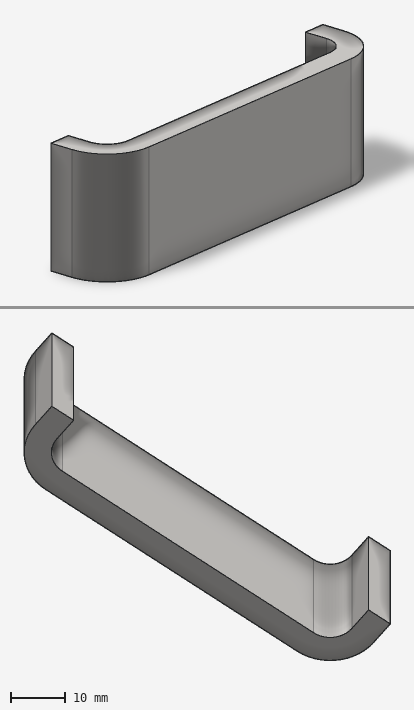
import cadquery as cq

thickness = 5.0
inner_radius = 5.0
lip_length = 5.0
web_length = 57.5
height = 25.0
tilt_angle = 13.8

outer_radius = inner_radius + thickness
half_web = web_length / 2
bend_x = -outer_radius
tip_x = bend_x - lip_length
inner_y = half_web + inner_radius
outer_y = half_web + outer_radius


def bar_block(x_min, x_max, y_min, y_max):
    """Straight stretch of bar between the given limits."""
    return (
        cq.Workplane("XY")
        .box(x_max - x_min, y_max - y_min, height, centered=False)
        .translate((x_min, y_min, 0))
    )


def bent_arm():
    """Quarter-turn bend and straight lip at the +Y end of the web."""
    ring = (
        cq.Workplane("XY")
        .center(bend_x, half_web)
        .circle(outer_radius)
        .circle(inner_radius)
        .extrude(height)
    )
    bend = ring.intersect(bar_block(bend_x, 0, half_web, outer_y))
    return bend.union(bar_block(tip_x, bend_x, inner_y, outer_y))


web = bar_block(-thickness, 0, -half_web, half_web)
upper_arm = bent_arm()
lower_arm = upper_arm.mirror("XZ")

bracket = web.union(upper_arm).union(lower_arm)
result = bracket.rotate((0, 0, 0), (0, 0, 1), tilt_angle)